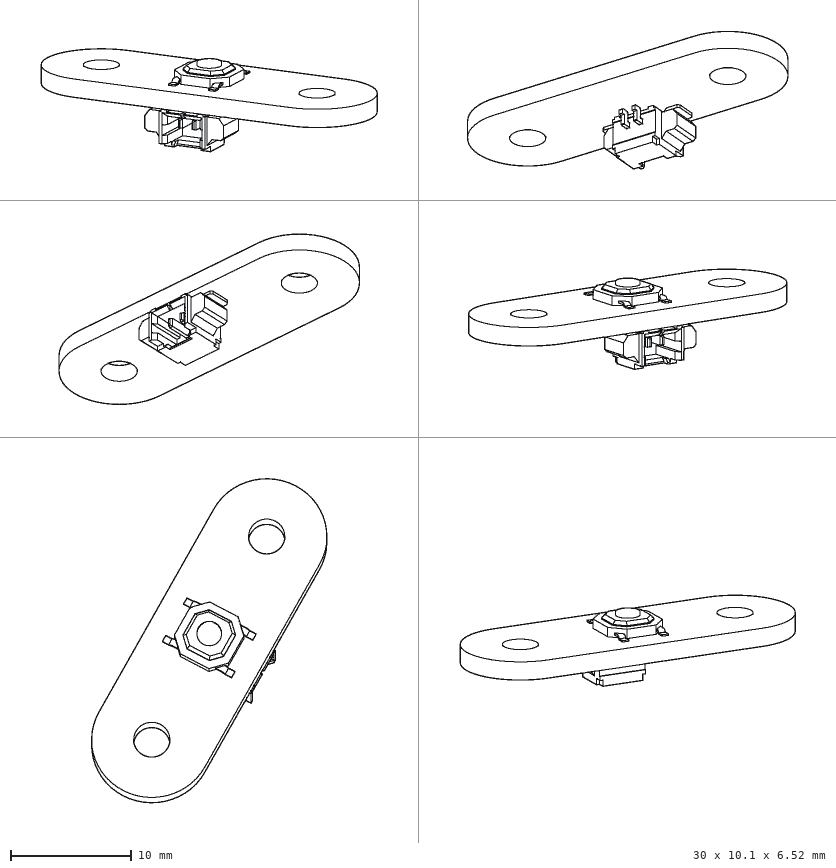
import cadquery as cq

board_length = 30
board_width = board_length / 3
board_thickness = 1.6
mount_hole_diameter = 3
mount_hole_spacing = board_length - board_width
overall_width = 10.1

switch_width = 5.1
switch_corner = 1.2
switch_height = 0.8
cap_width = 3.85
cap_corner = 0.87
cap_top_corner = 0.7
cap_skirt_height = 0.1
cap_bevel_height = 0.3
cap_bevel_width = 0.27
plunger_diameter = 2.05
plunger_rounding = 0.05
plunger_top = 1.5

lead_spacing = 3.7
lead_width = 0.6
lead_thickness = 0.18
lead_shelf_top = 0.4
lead_shelf_end = 2.28
lead_root = 1.5
lead_bend_end = 2.58
lead_bend_height = 0.25
lead_inner_bend_end = 2.4
lead_inner_bend_height = 0.15
lead_sole_top = 0.12
lead_sole_start = 2.67
lead_sole_end = 3.27

housing_half_width = 2.13
housing_front = board_width / 2 - overall_width
housing_rear = -0.9
housing_top = -0.18
housing_bottom = -3.42
front_lip_bottom = -2.97
lower_front = -4.05
rear_recess_depth = 0.1
rear_recess_top = -0.45
rear_recess_bottom = -2.52
foot_inner = 1.4
foot_outer = 1.95
corner_notch_length = 0.63
corner_notch_top = -2.88
corner_notch_depth = 0.27

cavity_half_width = 1.5
cavity_top = -0.63
cavity_floor = -3
cavity_rear = -1.95
mouth_half_width = 1.85
mouth_top = -0.27
mouth_depth = 0.35
groove_top = -1.35
groove_bottom = -2.25
key_width = 0.3
floor_bevel = 0.27
floor_notch_half_width = 1.23
floor_notch_length = 0.55

tab_rear = -1.9
tab_front = -4.05
tab_outer = 3.85
tab_corner = 0.18
tab_thickness = 0.27
tab_top_inner = 2.6
tab_bottom_inner = 2.37

wing_rear = tab_rear
wing_front = -4.68
wing_top = -tab_thickness
wing_top_outer = 3.2
wing_outer = 3.65
wing_outer_top = -0.85
wing_outer_bottom = -1.92
wing_bottom = -2.15
wing_bottom_outer = 3.4
wing_bottom_inner = 2.58
wing_root_bottom = -2.73

pin_spacing = 1.25
pin_width = 0.33
pin_top = -0.9
pin_tail_bottom = -1.35
pin_blade_bottom = -1.7
pin_tip = -4.3
pin_tip_length = 0.25
pin_tip_inset = 0.1
pin_sole_rear = 0.1
pin_sole_bottom = -0.45
pin_sole_bevel = 0.1
pin_post_rear = -0.18
pin_post_front = -0.72
pin_heel_bevel = 0.05
pin_post_bevel = 0.1


def block(x_range, y_range, z_range):
    """Axis-aligned box between the given limits."""
    (x0, x1), (y0, y1), (z0, z1) = x_range, y_range, z_range
    return cq.Workplane("XY").box(x1 - x0, y1 - y0, z1 - z0, centered=False).translate((x0, y0, z0))


def octagon(width, corner):
    """Corner points of a square with cut corners, centred on the button axis."""
    half = width / 2
    flat = half - corner
    return [
        (half, -flat), (half, flat), (flat, half), (-flat, half),
        (-half, flat), (-half, -flat), (-flat, -half), (flat, -half),
    ]


def rectangle(half_width, bottom, top):
    """Corner points of an upright rectangle centred across the width."""
    return [(-half_width, bottom), (half_width, bottom), (half_width, top), (-half_width, top)]


def prism(points, z, height):
    """Upright prism standing on height z."""
    return cq.Workplane("XY", origin=(0, 0, z)).polyline(points).close().extrude(height)


def frustum(origin, plane, start, end, length):
    """Straight-sided loft between two outlines on parallel planes."""
    return (
        cq.Workplane(plane, origin=origin).polyline(start).close()
        .workplane(offset=length).polyline(end).close().loft(ruled=True)
    )


def side_profile(points, x_center, width):
    """Outline of (y, z) points given a thickness along X."""
    return (
        cq.Workplane("YZ", origin=(x_center - width / 2, 0, 0))
        .polyline(points).close().extrude(width)
    )


def front_profile(points, rear, front):
    """Outline of (x, z) points extruded from rear toward front."""
    return cq.Workplane("XZ", origin=(0, rear, 0)).polyline(points).close().extrude(rear - front)


def both_sides(left):
    """A left-hand feature together with its mirror image on the right."""
    return left, left.mirror("YZ")


def make_board():
    board = cq.Workplane("XY").slot2D(board_length, board_width).extrude(board_thickness)
    holes = (
        cq.Workplane("XY").rarray(mount_hole_spacing, 0.3, 2, 1)
        .circle(mount_hole_diameter / 2).extrude(board_thickness)
    )
    return board.cut(holes)


def make_lead(x_center):
    """Gull-wing lead running toward -Y, with its sole on the board."""
    shelf_bottom = lead_shelf_top - lead_thickness
    outline = (
        cq.Workplane("YZ", origin=(x_center - lead_width / 2, 0, board_thickness))
        .moveTo(-lead_root, lead_shelf_top)
        .lineTo(-lead_shelf_end, lead_shelf_top)
        .tangentArcPoint((-lead_bend_end, lead_bend_height), relative=False)
        .lineTo(-lead_sole_start, lead_sole_top)
        .lineTo(-lead_sole_end, lead_sole_top)
        .lineTo(-lead_sole_end, 0)
        .lineTo(-lead_sole_start, 0)
        .lineTo(-lead_inner_bend_end, lead_inner_bend_height)
        .lineTo(-lead_shelf_end, shelf_bottom)
        .lineTo(-lead_root, shelf_bottom)
        .close()
    )
    return outline.extrude(lead_width)


def make_switch():
    body_top = board_thickness + switch_height
    skirt_top = body_top + cap_skirt_height
    cap_top_width = cap_width - 2 * cap_bevel_width
    switch = prism(octagon(switch_width, switch_corner), board_thickness, switch_height)
    skirt = prism(octagon(cap_width, cap_corner), body_top, cap_skirt_height)
    bevel = frustum(
        (0, 0, skirt_top), "XY",
        octagon(cap_width, cap_corner), octagon(cap_top_width, cap_top_corner), cap_bevel_height,
    )
    plunger = (
        cq.Workplane("XY", origin=(0, 0, body_top)).circle(plunger_diameter / 2)
        .extrude(plunger_top - switch_height)
        .faces(">Z").edges().fillet(plunger_rounding)
    )
    switch = switch.union(skirt).union(bevel).union(plunger)
    for x_center in (-lead_spacing / 2, lead_spacing / 2):
        lead = make_lead(x_center)
        switch = switch.union(lead).union(lead.mirror("XZ"))
    return switch


def make_pin(x_center):
    """Bent contact: sole on the board, post, and a blade with a tapered tip in the cavity."""
    blade_end = pin_tip + pin_tip_length
    points = [
        (0, 0),
        (pin_post_front + pin_post_bevel, 0),
        (pin_post_front, -pin_post_bevel),
        (pin_post_front, pin_top + pin_post_bevel),
        (pin_post_front - pin_post_bevel, pin_top),
        (blade_end, pin_top),
        (blade_end, pin_blade_bottom),
        (cavity_rear, pin_blade_bottom),
        (cavity_rear, pin_tail_bottom),
        (pin_post_rear - pin_heel_bevel, pin_tail_bottom),
        (pin_post_rear, pin_tail_bottom + pin_heel_bevel),
        (pin_post_rear, pin_sole_bottom),
        (pin_sole_rear, pin_sole_bottom),
        (pin_sole_rear, -pin_sole_bevel),
    ]
    tip = frustum(
        (x_center, blade_end, 0), "XZ",
        rectangle(pin_width / 2, pin_blade_bottom, pin_top),
        rectangle(pin_width / 2 - pin_tip_inset, pin_blade_bottom + pin_tip_inset, pin_top - pin_tip_inset),
        pin_tip_length,
    )
    return side_profile(points, x_center, pin_width).union(tip)


def make_wing():
    """Left wing on the side of the housing."""
    points = [
        (-housing_half_width, wing_top),
        (-wing_top_outer, wing_top),
        (-wing_outer, wing_outer_top),
        (-wing_outer, wing_outer_bottom),
        (-wing_bottom_outer, wing_bottom),
        (-wing_bottom_inner, wing_bottom),
        (-housing_half_width, wing_root_bottom),
    ]
    return front_profile(points, wing_rear, wing_front)


def make_shell():
    """Housing block with its feet, wings and lower rear corner notches, still without the cavity."""
    recess = housing_rear - rear_recess_depth
    points = [
        (housing_rear, housing_top),
        (housing_front, housing_top),
        (housing_front, front_lip_bottom),
        (lower_front, front_lip_bottom),
        (lower_front, housing_bottom),
        (housing_rear, housing_bottom),
        (housing_rear, rear_recess_bottom),
        (recess, rear_recess_bottom),
        (recess, rear_recess_top),
        (housing_rear, rear_recess_top),
    ]
    shell = side_profile(points, 0, 2 * housing_half_width)
    foot = block((-foot_outer, -foot_inner), (housing_front, housing_rear), (housing_top, 0))
    notch = block(
        (-housing_half_width, -housing_half_width + corner_notch_depth),
        (housing_rear - corner_notch_length, housing_rear),
        (housing_bottom, corner_notch_top),
    )
    for addition in (*both_sides(foot), *both_sides(make_wing())):
        shell = shell.union(addition)
    for corner in both_sides(notch):
        shell = shell.cut(corner)
    return shell


def make_cavity():
    """Plug space with its side grooves, flared mouth and the keyway through the top lip."""
    depth = (housing_front, cavity_rear)
    mouth_rear = housing_front + mouth_depth
    half_key = key_width / 2
    cavity = block((-cavity_half_width, cavity_half_width), depth, (cavity_floor, cavity_top))
    grooves = block((-mouth_half_width, mouth_half_width), depth, (groove_bottom, groove_top))
    mouth = frustum(
        (0, mouth_rear, 0), "XZ",
        rectangle(cavity_half_width, cavity_floor, cavity_top),
        rectangle(mouth_half_width, cavity_floor, mouth_top),
        mouth_depth,
    )
    keyway = block((-half_key, half_key), (housing_front, mouth_rear), (cavity_top, housing_top))
    return cavity.union(grooves).union(mouth).union(keyway)


def make_floor_bevel(front, half_width):
    """Wedge that bevels the front edge of the cavity floor."""
    points = [
        (front, cavity_floor),
        (front + floor_bevel, cavity_floor),
        (front, cavity_floor - floor_bevel),
    ]
    return side_profile(points, 0, 2 * half_width)


def make_housing(pins):
    notch_rear = lower_front + floor_notch_length
    floor_notch = block(
        (-floor_notch_half_width, floor_notch_half_width),
        (lower_front, notch_rear),
        (housing_bottom, cavity_floor),
    )
    housing = make_shell().cut(make_cavity()).cut(floor_notch)
    housing = housing.cut(make_floor_bevel(lower_front, cavity_half_width))
    housing = housing.cut(make_floor_bevel(notch_rear, floor_notch_half_width))
    for pin in pins:
        housing = housing.cut(pin)
    return housing


def make_tab():
    """Left solder tab, with its two outer corners cut off."""
    points = [
        (-tab_outer, 0),
        (-tab_top_inner, 0),
        (-tab_bottom_inner, -tab_thickness),
        (-tab_outer, -tab_thickness),
    ]
    tab = front_profile(points, tab_rear, tab_front)
    return tab.faces("<X").edges("|Z").chamfer(tab_corner)


board = make_board()
switch = make_switch()
pins = [make_pin(x_center) for x_center in (-pin_spacing / 2, pin_spacing / 2)]
housing = make_housing(pins)
tabs = both_sides(make_tab())

result = cq.Compound.makeCompound([body.val() for body in (board, switch, housing, *pins, *tabs)])